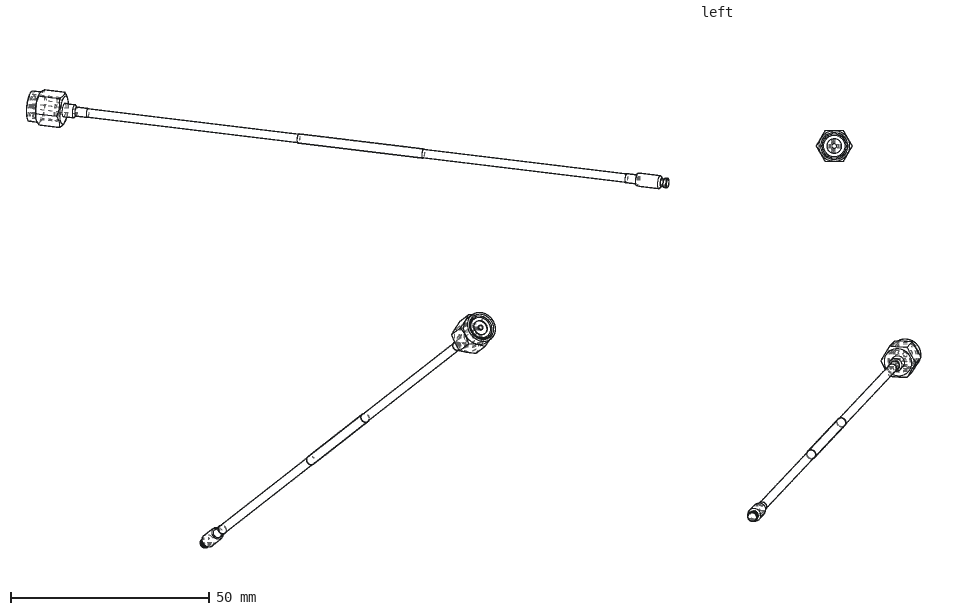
import cadquery as cq
import math

LENGTH = 168.8

NUT_CORNERS = 9.1
NUT_COLLAR_END = 2.4
NUT_END = 8.8
NUT_COLLAR_RADIUS = 3.9
NUT_CHAMFER_RADIUS = 3.5
NUT_CHAMFER_LENGTH = 0.5
NUT_BORE_RADIUS = 3.0
NUT_BORE_DEPTH = 7.1
NUT_MOUTH_CHAMFER = 0.3

PLUG_FACE = 0.5
PLUG_FACE_RADIUS = 2.7
SHANK_RADIUS = 1.7
SHANK_END = 12.0
SHANK_CHAMFER = 0.5
SLEEVE_RADIUS = 1.2
PLUG_END = 15.0
RECESS_RADIUS = 1.9
RECESS_DEPTH = 0.3

PIN_RADIUS = 0.59
PIN_TIP = 0.3

CABLE_RADIUS = 1.1
CABLE_START = SHANK_END
CABLE_END = 161.0
MARKER_RADIUS = 1.22
MARKER_START = 70.9
MARKER_END = 104.0

JACK_START = 157.8
BARREL_START = 160.7
BARREL_END = 167.1
BARREL_RADIUS = 1.7
FRONT_CHAMFER = 0.5
REAR_CHAMFER_LENGTH = 0.8
REAR_CHAMFER_DEPTH = 0.1
NECK_END = 167.8
NECK_RADIUS = 0.93
TIP_RADIUS = 1.25
TIP_CHAMFER = 0.2


def rod(start, end, radius):
    """Round bar along X from start to end."""
    return cq.Workplane("YZ", origin=(start, 0, 0)).circle(radius).extrude(end - start)


def turned(points):
    """Solid of revolution about X from (x, radius) points that begin and end on the axis."""
    return cq.Workplane("XY").polyline(points).close().revolve(360, (0, 0, 0), (1, 0, 0))


def make_nut():
    hexagon = (
        cq.Workplane("YZ", origin=(NUT_COLLAR_END, 0, 0))
        .polygon(6, NUT_CORNERS)
        .extrude(NUT_END - NUT_COLLAR_END)
    )
    corner_radius = NUT_CORNERS / 2
    chamfer_limit = turned([
        (NUT_COLLAR_END, 0),
        (NUT_COLLAR_END, NUT_COLLAR_RADIUS),
        (NUT_COLLAR_END + NUT_CHAMFER_LENGTH, corner_radius),
        (NUT_END - NUT_CHAMFER_LENGTH, corner_radius),
        (NUT_END, NUT_CHAMFER_RADIUS),
        (NUT_END, 0),
    ])
    collar = rod(0, NUT_COLLAR_END, NUT_COLLAR_RADIUS)
    bore = turned([
        (0, 0),
        (0, NUT_BORE_RADIUS + NUT_MOUTH_CHAMFER),
        (NUT_MOUTH_CHAMFER, NUT_BORE_RADIUS),
        (NUT_BORE_DEPTH, NUT_BORE_RADIUS),
        (NUT_BORE_DEPTH, 0),
    ])
    shank_hole = rod(NUT_BORE_DEPTH, NUT_END, SHANK_RADIUS)
    return hexagon.intersect(chamfer_limit).union(collar).cut(bore).cut(shank_hole)


def make_plug():
    body = turned([
        (PLUG_FACE, 0),
        (PLUG_FACE, PLUG_FACE_RADIUS),
        (NUT_BORE_DEPTH, PLUG_FACE_RADIUS),
        (NUT_BORE_DEPTH, SHANK_RADIUS),
        (SHANK_END - SHANK_CHAMFER, SHANK_RADIUS),
        (SHANK_END, SLEEVE_RADIUS),
        (PLUG_END, SLEEVE_RADIUS),
        (PLUG_END, 0),
    ])
    recess_floor = PLUG_FACE + RECESS_DEPTH
    recess = rod(PLUG_FACE, recess_floor, RECESS_RADIUS)
    pin_hole = rod(recess_floor, CABLE_START, PIN_RADIUS)
    cable_hole = rod(CABLE_START, PLUG_END, CABLE_RADIUS)
    return body.cut(recess).cut(pin_hole).cut(cable_hole)


def make_marker():
    tube = rod(MARKER_START, MARKER_END, MARKER_RADIUS)
    return tube.cut(rod(MARKER_START, MARKER_END, CABLE_RADIUS))


def make_jack():
    body = turned([
        (JACK_START, 0),
        (JACK_START, SLEEVE_RADIUS),
        (BARREL_START, SLEEVE_RADIUS),
        (BARREL_START, BARREL_RADIUS - REAR_CHAMFER_DEPTH),
        (BARREL_START + REAR_CHAMFER_LENGTH, BARREL_RADIUS),
        (BARREL_END - FRONT_CHAMFER, BARREL_RADIUS),
        (BARREL_END, BARREL_RADIUS - FRONT_CHAMFER),
        (BARREL_END, NECK_RADIUS),
        (NECK_END, NECK_RADIUS),
        (NECK_END, TIP_RADIUS - TIP_CHAMFER),
        (NECK_END + TIP_CHAMFER, TIP_RADIUS),
        (LENGTH - TIP_CHAMFER, TIP_RADIUS),
        (LENGTH, TIP_RADIUS - TIP_CHAMFER),
        (LENGTH, 0),
    ])
    return body.cut(rod(JACK_START, CABLE_END, CABLE_RADIUS))


nut = make_nut()
plug = make_plug()
pin = rod(PIN_TIP, CABLE_START, PIN_RADIUS)
cable = rod(CABLE_START, CABLE_END, CABLE_RADIUS)
marker = make_marker()
jack = make_jack()

result = cq.Compound.makeCompound([
    nut.val(),
    plug.val(),
    pin.val(),
    cable.val(),
    marker.val(),
    jack.val(),
])